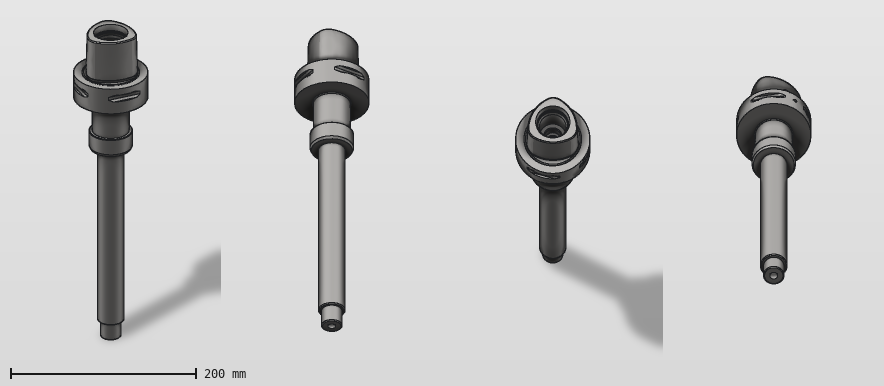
import cadquery as cq
import math

total_length = 369.5
tip_length = 20.0
shaft_top = 230.0
collar_top = 251.0
flange_bottom = 291.5
flange_top = 321.5

tip_dia = 22.0
shaft_dia = 29.0
collar_dia = 47.0
neck_dia = 40.0
flange_dia = 80.0

edge_chamfer = 1.0
collar_chamfer_height = 3.0
collar_chamfer_width = 1.5
collar_top_chamfer = 0.7
neck_flare = 1.0

lobe_offset = 15.5
lobe_radius = 14.5
taper_per_side = 1 / 40
shank_chamfer = 1.0
undercut_height = 2.5
undercut_depth = 0.7

ring_outer_dia = 62.0
ring_inner_dia = 58.8
ring_depth = 1.0

mouth_dia = 37.0
mouth_chamfer_height = 0.7
mouth_top_dia = 36.2
mouth_bottom_dia = 34.0
mouth_depth = 6.5
groove_dia = 34.0
groove_top = 7.8
groove_bottom = 9.2
seat_bore_dia = 32.0
seat_depth = 12.0
seat_cone_bottom = 14.5
main_bore_dia = 29.0
main_bore_depth = 40.5
inner_countersink_dia = 20.0
inner_bore_dia = 17.7
inner_bore_depth = 51.7
through_dia = 8.5
through_countersink_dia = 12.0
through_counterbore_dia = 10.0
through_counterbore_bottom = 55.5

slot_count = 4
slot_drop = 12.0
slot_floor_radius = 35.5
slot_floor_height = 3.5
slot_mouth_height = 7.8
slot_slope_depth = 2.2
shank_hole_dia = 10.0
shank_hole_drop = 23.5
flange_hole_dia = 4.0
drill_point_angle = 120
drill_clearance = 2.0
side_hole_depth = 3.7


def revolve_profile(points):
    """Revolve (radius, height) points around the Z axis."""
    return cq.Workplane("XZ").polyline(points).close().revolve(360, (0, 0, 0), (0, 1, 0))


def polar_point(centre, radius, angle):
    turn = math.radians(angle)
    return (centre[0] + radius * math.cos(turn), centre[1] + radius * math.sin(turn))


def shank_outline(height, corner_radius):
    """Constant-width outline: three lobe arcs joined by three tangent flat arcs."""
    flat_radius = corner_radius + lobe_offset * math.sqrt(3)
    first_centre = (lobe_offset, 0)
    outline = cq.Workplane("XY", origin=(0, 0, height))
    outline = outline.moveTo(*polar_point(first_centre, corner_radius, -30))
    for lobe_angle in (0, 120, 240):
        lobe_centre = polar_point((0, 0), lobe_offset, lobe_angle)
        flat_centre = polar_point((0, 0), lobe_offset, lobe_angle + 240)
        outline = outline.threePointArc(
            polar_point(lobe_centre, corner_radius, lobe_angle),
            polar_point(lobe_centre, corner_radius, lobe_angle + 30),
        )
        outline = outline.threePointArc(
            polar_point(flat_centre, flat_radius, lobe_angle + 60),
            polar_point(flat_centre, flat_radius, lobe_angle + 90),
        )
    return outline.close()


def make_turned_body():
    tip_r = tip_dia / 2
    shaft_r = shaft_dia / 2
    collar_r = collar_dia / 2
    neck_r = neck_dia / 2
    flange_r = flange_dia / 2
    return revolve_profile([
        (0, 0),
        (tip_r - edge_chamfer, 0),
        (tip_r, edge_chamfer),
        (tip_r, tip_length),
        (shaft_r - edge_chamfer, tip_length),
        (shaft_r, tip_length + edge_chamfer),
        (shaft_r, shaft_top),
        (collar_r - collar_chamfer_width, shaft_top),
        (collar_r, shaft_top + collar_chamfer_height),
        (collar_r, collar_top - collar_top_chamfer),
        (collar_r - collar_top_chamfer, collar_top),
        (neck_r, collar_top),
        (neck_r, flange_bottom - neck_flare),
        (neck_r + neck_flare, flange_bottom),
        (flange_r, flange_bottom),
        (flange_r, flange_top),
        (0, flange_top),
    ])


def make_shank():
    taper_start = flange_top + undercut_height
    taper_length = total_length - taper_start
    taper_angle = math.degrees(math.atan(taper_per_side))
    taper = shank_outline(taper_start, lobe_radius).extrude(taper_length, taper=taper_angle)
    taper = taper.faces(">Z").chamfer(shank_chamfer)
    undercut = shank_outline(flange_top, lobe_radius - undercut_depth).extrude(undercut_height)
    return taper.union(undercut)


def make_ring_groove():
    return revolve_profile([
        (ring_inner_dia / 2, flange_top),
        (ring_outer_dia / 2, flange_top),
        (ring_outer_dia / 2, flange_top - ring_depth),
    ])


def make_bore():
    inner_chamfer = (inner_countersink_dia - inner_bore_dia) / 2
    through_chamfer = (through_countersink_dia - through_counterbore_dia) / 2
    radius_depths = [
        (0, 0),
        (mouth_dia / 2, 0),
        (mouth_top_dia / 2, mouth_chamfer_height),
        (mouth_bottom_dia / 2, mouth_depth),
        (seat_bore_dia / 2, mouth_depth),
        (seat_bore_dia / 2, groove_top),
        (groove_dia / 2, groove_top),
        (groove_dia / 2, groove_bottom),
        (seat_bore_dia / 2, groove_bottom),
        (seat_bore_dia / 2, seat_depth),
        (main_bore_dia / 2, seat_cone_bottom),
        (main_bore_dia / 2, main_bore_depth),
        (inner_countersink_dia / 2, main_bore_depth),
        (inner_bore_dia / 2, main_bore_depth + inner_chamfer),
        (inner_bore_dia / 2, inner_bore_depth),
        (through_countersink_dia / 2, inner_bore_depth),
        (through_counterbore_dia / 2, inner_bore_depth + through_chamfer),
        (through_counterbore_dia / 2, through_counterbore_bottom),
        (through_dia / 2, through_counterbore_bottom),
        (through_dia / 2, total_length),
        (0, total_length),
    ]
    return revolve_profile([(radius, total_length - depth) for radius, depth in radius_depths])


def make_gripper_slots():
    """Slots with sloping sides above a narrow floor, cut straight across the flange edge, midway between the axes."""
    floor_half = slot_floor_height / 2
    mouth_half = slot_mouth_height / 2
    flange_r = flange_dia / 2
    slope_end = slot_floor_radius + slot_slope_depth
    middle = flange_top - slot_drop
    profile = [
        (slot_floor_radius, middle - floor_half),
        (slope_end, middle - mouth_half),
        (flange_r, middle - mouth_half),
        (flange_r, middle + mouth_half),
        (slope_end, middle + mouth_half),
        (slot_floor_radius, middle + floor_half),
    ]
    slot_plane = cq.Workplane("XZ", origin=(0, flange_r, 0))
    slot = slot_plane.polyline(profile).close().extrude(flange_dia)
    slots = cq.Workplane("XY")
    pitch = 360 / slot_count
    for index in range(slot_count):
        slots = slots.add(slot.rotate((0, 0, 0), (0, 0, 1), pitch * (index + 0.5)))
    return slots.combine()


def make_side_hole(diameter, surface_radius, height):
    """Drilled blind hole with a pointed end, entering the -X side at the given radius."""
    radius = diameter / 2
    point_length = radius / math.tan(math.radians(drill_point_angle / 2))
    mouth_x = -surface_radius - drill_clearance
    wall_end_x = -surface_radius + side_hole_depth
    profile = [
        (mouth_x, 0),
        (mouth_x, radius),
        (wall_end_x, radius),
        (wall_end_x + point_length, 0),
    ]
    hole = cq.Workplane("XY").polyline(profile).close().revolve(360, (0, 0, 0), (1, 0, 0))
    return hole.translate((0, 0, height))


hole_height = total_length - shank_hole_drop
taper_offset = taper_per_side * (hole_height - flange_top - undercut_height)
flat_distance = lobe_radius + lobe_offset * (math.sqrt(3) - 1) - taper_offset

result = make_turned_body().union(make_shank())
result = result.cut(make_ring_groove())
result = result.cut(make_bore())
result = result.cut(make_gripper_slots())
result = result.cut(make_side_hole(shank_hole_dia, flat_distance, hole_height))
result = result.cut(make_side_hole(flange_hole_dia, flange_dia / 2, flange_top - slot_drop))